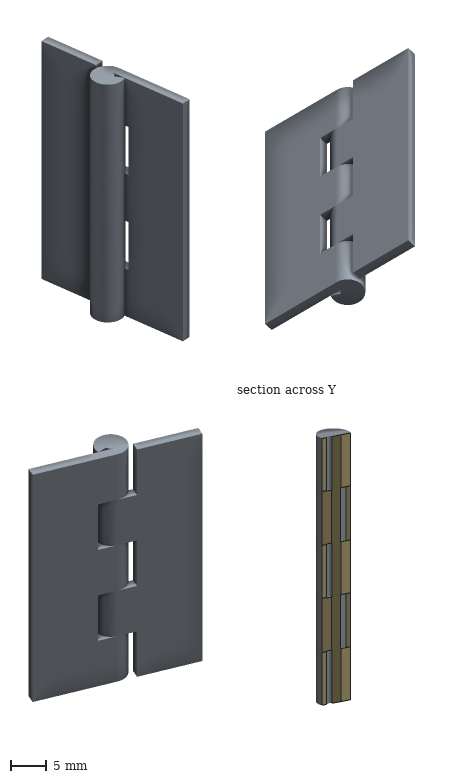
import cadquery as cq
import math

hinge_length = 40.0
leaf_reach = 13.0
barrel_diameter = 5.0
pin_diameter = 2.0
notch_reach = 3.0
knuckle_count = 5
curl_start_angle = 90.0
curl_end_angle = 23.0

knuckle_length = hinge_length / knuckle_count
barrel_radius = barrel_diameter / 2
pin_radius = pin_diameter / 2
middle_angle = (curl_start_angle + 360.0 + curl_end_angle) / 2


def polar_point(radius, angle):
    """Point around the pin axis, with the angle in degrees."""
    radians = math.radians(angle)
    return (radius * math.cos(radians), radius * math.sin(radians))


def rolled_leaf():
    """Full-length leaf reaching toward +X, its edge rolled around the pin."""
    return (
        cq.Workplane("XY")
        .moveTo(0, barrel_radius)
        .lineTo(leaf_reach, barrel_radius)
        .lineTo(leaf_reach, pin_radius)
        .lineTo(0, pin_radius)
        .threePointArc(polar_point(pin_radius, middle_angle), polar_point(pin_radius, curl_end_angle))
        .lineTo(*polar_point(barrel_radius, curl_end_angle))
        .threePointArc(polar_point(barrel_radius, middle_angle), (0, barrel_radius))
        .close()
        .extrude(hinge_length)
    )


def make_leaf(notch_rows):
    """Leaf with the knuckle rows of the opposite leaf cut away."""
    leaf = rolled_leaf()
    for row in notch_rows:
        notch = (
            cq.Workplane("XY", origin=(0, 0, row * knuckle_length))
            .rect(2 * notch_reach, 2 * notch_reach)
            .extrude(knuckle_length)
        )
        leaf = leaf.cut(notch)
    return leaf


def make_pin():
    """Pin that fills the bore, flush with both ends of the barrel."""
    return cq.Workplane("XY").circle(pin_radius).extrude(hinge_length)


right_leaf = make_leaf(range(1, knuckle_count, 2))
left_leaf = make_leaf(range(0, knuckle_count, 2)).mirror("YZ")
pin = make_pin()

result = cq.Compound.makeCompound([right_leaf.val(), left_leaf.val(), pin.val()])